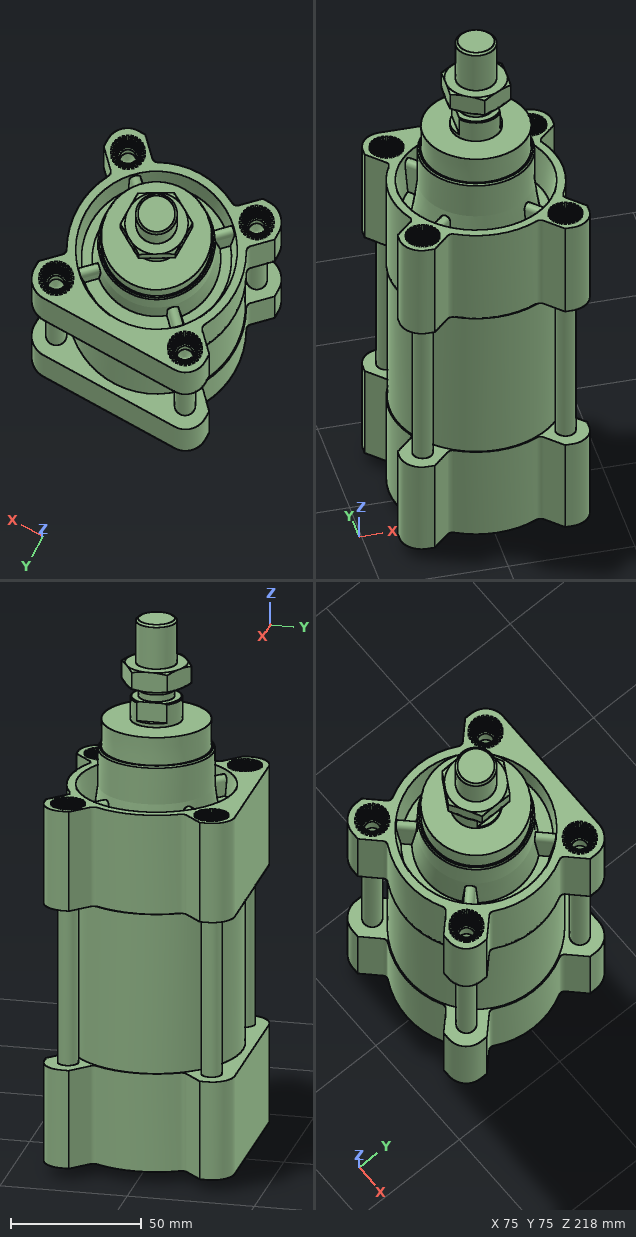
import cadquery as cq
import math

lower_cap_base = 4.4
lower_cap_top = 44.5
upper_cap_base = 109.7
upper_cap_top = 150.3
collar_top = 165.8
wiper_top = 177.0
rod_end = 218.0

cap_half_width = 37.5
cap_round_diameter = 69.0
barrel_diameter = 68.0
lug_corner_radius = 8.7
lug_flat_end = 25.7
lug_root_fillet = 2.2
tie_rod_spacing = 56.5
tie_rod_diameter = 8.0

collar_diameter = 45.0
collar_chamfer = 0.7
wiper_diameter = 42.3
wiper_waist_diameter = 42.0

recess_depth = 15.3
shallow_recess_depth = 9.8
recess_outer_top = 62.0
recess_outer_floor = 57.5
recess_inner_floor = 49.3
rib_diameter = 4.4
rib_foot_width = 6.0
rib_crest_drop = 2.0

socket_tip_diameter = 8.0
socket_sink_diameter = 12.0
socket_sink_angle = 90.0
socket_root_diameter = 13.3
socket_teeth = 24
socket_groove_angle = 7.5
socket_depth = 11.0
screw_core_diameter = 6.5
screw_hole_depth = 17.5
drill_point_angle = 118.0

rod_diameter = 20.0
rod_flats = 16.1
flats_base = 178.6
rod_shoulder = 186.5
shoulder_chamfer = 0.5
undercut_diameter = 14.0
undercut_top = 189.3
thread_diameter = 16.0
thread_base = 191.7
thread_chamfer = 0.9

nut_across_flats = 24.0
nut_base = 192.1
nut_height = 8.0
nut_face_diameter = 24.2
nut_chamfer_angle = 20.0

tie_rod_reach = tie_rod_spacing / 2
tie_rod_points = [(x * tie_rod_reach, y * tie_rod_reach) for x in (-1, 1) for y in (-1, 1)]


def cylinder(diameter, base, top):
    return cq.Workplane("XY").workplane(offset=base).circle(diameter / 2).extrude(top - base)


def revolved(profile):
    """Turn a closed (radius, z) outline about the Z axis."""
    return cq.Workplane("XZ").polyline(profile).close().revolve(360, (0, 0, 0), (0, 1, 0))


def lug_pair(base, height):
    """Diagonal bar whose two rounded ends are opposite corner lugs."""
    a = cap_half_width
    b = lug_flat_end
    bar = (
        cq.Workplane("XY")
        .workplane(offset=base)
        .polyline([(a, a), (b, a), (-a, -b), (-a, -a), (-b, -a), (a, b)])
        .close()
        .extrude(height)
    )
    return bar.edges("|Z").edges(">(1,1,0) or <(1,1,0)").fillet(lug_corner_radius)


def cap(base, top):
    """Round cap with four corner lugs and a flat plate that joins the two +Y lugs."""
    height = top - base
    lugs = lug_pair(base, height)
    body = cylinder(cap_round_diameter, base, top).union(lugs).union(lugs.mirror("YZ"))
    root_zone_reach = cap_round_diameter / 2
    root_zone = cq.selectors.BoxSelector(
        (-root_zone_reach, -root_zone_reach, base),
        (root_zone_reach, root_zone_reach, top),
    )
    body = body.edges("|Z").edges(root_zone).fillet(lug_root_fillet)
    plate_width = cap_half_width - lug_flat_end
    plate = (
        cq.Workplane("XY")
        .workplane(offset=base)
        .center(0, cap_half_width - plate_width / 2)
        .rect(2 * lug_flat_end, plate_width)
        .extrude(height)
    )
    return body.union(plate)


def recess_ring():
    floor = upper_cap_top - recess_depth
    return revolved([
        (collar_diameter / 2, upper_cap_top),
        (recess_inner_floor / 2, floor),
        (recess_outer_floor / 2, floor),
        (recess_outer_top / 2, upper_cap_top),
    ])


def raised_floor():
    """Quarter sector on the +Y side, between two ribs, where the recess is shallower."""
    floor = upper_cap_top - recess_depth
    reach = recess_outer_top / 2
    return (
        cq.Workplane("XY")
        .workplane(offset=floor)
        .polyline([(0, 0), (reach, reach), (-reach, reach)])
        .close()
        .extrude(recess_depth - shallow_recess_depth)
    )


def recess_ribs():
    """Round-topped ribs with sloping sides that cross the recess on its diagonals."""
    floor = upper_cap_top - recess_depth
    crest = upper_cap_top - rib_crest_drop
    half_width = rib_diameter / 2
    reach = (recess_outer_top + cap_round_diameter) / 4
    rib = (
        cq.Workplane("YZ")
        .moveTo(-rib_foot_width / 2, floor)
        .lineTo(-half_width, crest - half_width)
        .radiusArc((0, crest), half_width)
        .radiusArc((half_width, crest - half_width), half_width)
        .lineTo(rib_foot_width / 2, floor)
        .close()
        .extrude(reach, both=True)
    )
    return [rib.rotate((0, 0, 0), (0, 0, 1), angle) for angle in (45, 135)]


def screw_socket():
    """Countersunk splined socket above a drilled screw hole, cut from the cap's top face at the origin."""
    tip_radius = socket_tip_diameter / 2
    sink_radius = socket_sink_diameter / 2
    core_radius = screw_core_diameter / 2
    point = core_radius / math.tan(math.radians(drill_point_angle / 2))
    sink_depth = (sink_radius - tip_radius) / math.tan(math.radians(socket_sink_angle / 2))
    socket = revolved([
        (0, 0),
        (sink_radius, 0),
        (tip_radius, -sink_depth),
        (tip_radius, -socket_depth),
        (core_radius, -socket_depth),
        (core_radius, -screw_hole_depth),
        (0, -screw_hole_depth - point),
    ])
    half_angle = math.radians(socket_groove_angle / 2)
    root_radius = socket_root_diameter / 2
    groove_side = root_radius * math.cos(half_angle)
    groove_reach = root_radius * math.sin(half_angle)
    groove = (
        cq.Workplane("XY")
        .polyline([(0, 0), (groove_side, groove_reach), (groove_side, -groove_reach)])
        .close()
        .extrude(-socket_depth)
    )
    for i in range(socket_teeth):
        socket = socket.union(groove.rotate((0, 0, 0), (0, 0, 1), i * 360 / socket_teeth))
    return socket


def wiper_ring():
    rim = wiper_diameter / 2
    waist = wiper_waist_diameter / 2
    return (
        cq.Workplane("XZ")
        .moveTo(0, collar_top)
        .lineTo(rim, collar_top)
        .threePointArc((waist, (collar_top + wiper_top) / 2), (rim, wiper_top))
        .lineTo(0, wiper_top)
        .close()
        .revolve(360, (0, 0, 0), (0, 1, 0))
    )


def make_housing():
    body = cap(lower_cap_base, lower_cap_top)
    body = body.union(cap(upper_cap_base, upper_cap_top).cut(recess_ring().cut(raised_floor())))
    body = body.union(cylinder(barrel_diameter, lower_cap_top, upper_cap_base))
    for rib in recess_ribs():
        body = body.union(rib)
    tie_rod = cylinder(tie_rod_diameter, lower_cap_top, upper_cap_base)
    socket = screw_socket()
    for x, y in tie_rod_points:
        body = body.union(tie_rod.translate((x, y, 0)))
        body = body.cut(socket.translate((x, y, upper_cap_top)))
    lower_collar = cylinder(collar_diameter, 0, lower_cap_base).faces("<Z").chamfer(collar_chamfer)
    upper_collar = cylinder(collar_diameter, upper_cap_top, collar_top).faces(">Z").chamfer(collar_chamfer)
    return body.union(lower_collar).union(upper_collar).union(wiper_ring())


def make_rod():
    rod_radius = rod_diameter / 2
    thread_radius = thread_diameter / 2
    undercut_radius = undercut_diameter / 2
    rod = revolved([
        (0, wiper_top),
        (rod_radius, wiper_top),
        (rod_radius, rod_shoulder - shoulder_chamfer),
        (rod_radius - shoulder_chamfer, rod_shoulder),
        (undercut_radius, rod_shoulder),
        (undercut_radius, undercut_top),
        (thread_radius, thread_base),
        (thread_radius, rod_end - thread_chamfer),
        (thread_radius - thread_chamfer, rod_end),
        (0, rod_end),
    ])
    flats_cut = (
        cq.Workplane("XY")
        .workplane(offset=flats_base)
        .rect(2 * rod_diameter, rod_diameter)
        .rect(rod_flats, rod_diameter)
        .extrude(rod_shoulder - flats_base)
    )
    return rod.cut(flats_cut)


def make_nut():
    across_corners = nut_across_flats / math.cos(math.radians(30))
    nut_top = nut_base + nut_height
    drop = (across_corners - nut_face_diameter) / 2 * math.tan(math.radians(nut_chamfer_angle))
    envelope = revolved([
        (0, nut_base),
        (nut_face_diameter / 2, nut_base),
        (across_corners / 2, nut_base + drop),
        (across_corners / 2, nut_top - drop),
        (nut_face_diameter / 2, nut_top),
        (0, nut_top),
    ])
    hexagon = (
        cq.Workplane("XY")
        .workplane(offset=nut_base)
        .transformed(rotate=(0, 0, 90))
        .polygon(6, across_corners)
        .extrude(nut_height)
    )
    return hexagon.intersect(envelope).cut(cylinder(thread_diameter, nut_base, nut_top))


housing = make_housing()
piston_rod = make_rod()
lock_nut = make_nut()
result = cq.Compound.makeCompound([housing.val(), piston_rod.val(), lock_nut.val()])